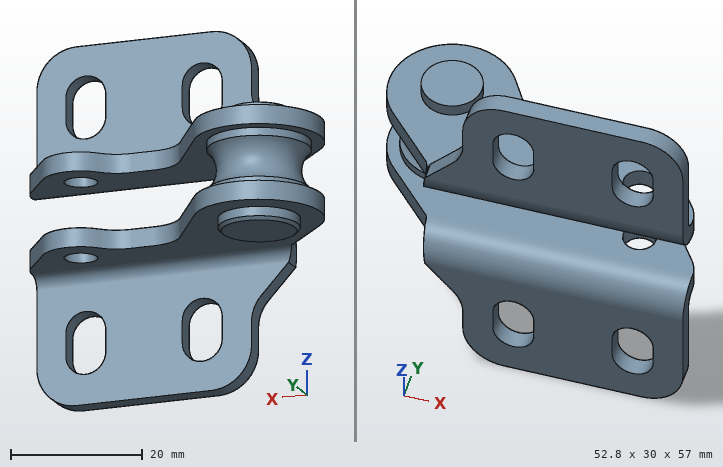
import cadquery as cq
import math

SHEET = 3.0
BEND_INNER = 2.0
BEND_OUTER = BEND_INNER + SHEET
WEB_INNER_Z = 4.5
FLANGE_TOP_Z = 28.5
FLANGE_FRONT_Y = -20.0
RIGHT_X = 42.8

WEB_OUTER_Z = WEB_INNER_Z + SHEET
BEND_END_Z = WEB_INNER_Z + BEND_OUTER
BEND_END_Y = FLANGE_FRONT_Y + BEND_OUTER

LUG_R = 10.0
VALLEY_R = 6.0
VALLEY_Y = -7.65
VALLEY_LEFT_X = 19.85
EAR_X = 32.8
EAR_Y = -9.7
EAR_R = 6.0
EAR_HOLE_D = 5.15
WEB_CORNER_R = 5.0
TOUCHING = 5.7e-07

BEND_LEFT_WEB_X = 0.5
BEND_LEFT_FLANGE_X = 1.75

FLANGE_LEFT_X = 7.8
FLANGE_CORNER_R = 6.5
SHOULDER_Z = 16.0
SHOULDER_R = 6.0
SLOT_WIDTH = 6.5
SLOT_LENGTH = 10.0
SLOT_Z = 18.7
SLOT_XS = (15.85, 34.8)

ROLLER_R = 8.0
GROOVE_R = 6.5
GROOVE_HALF_WIDTH = 3.25
ROLLER_HALF_WIDTH = WEB_INNER_Z

PIN_R = 4.75
PIN_HEAD_R = 6.25
PIN_END_Z = BEND_END_Z
PIN_HEAD_CHAMFER = 0.5


def tangent_angle(start, end):
    """Angle of the left-hand normal of the line that joins two circles tangentially.

    Each circle is (x, y, radius): positive radius when the outline runs clockwise
    round it, negative when counter-clockwise, zero for a plain corner.
    """
    x1, y1, r1 = start
    x2, y2, r2 = end
    distance = math.hypot(x2 - x1, y2 - y1)
    cosine = max(-1, (r1 - r2) / distance)
    return math.atan2(y2 - y1, x2 - x1) + math.acos(cosine)


def point_on(circle, angle):
    x, y, r = circle
    return (x + r * math.cos(angle), y + r * math.sin(angle))


def make_web():
    valley_center_y = VALLEY_Y + VALLEY_R
    valley_to_ear = math.sqrt((VALLEY_R + EAR_R) ** 2 - (valley_center_y - EAR_Y) ** 2)
    path = [
        (BEND_LEFT_WEB_X, BEND_END_Y, 0),
        (0, 0, LUG_R),
        (VALLEY_LEFT_X, valley_center_y, -VALLEY_R),
        (EAR_X - valley_to_ear, valley_center_y, -VALLEY_R),
        (EAR_X, EAR_Y, EAR_R),
        (RIGHT_X - WEB_CORNER_R, BEND_END_Y, WEB_CORNER_R),
    ]
    angles = [tangent_angle(a, b) for a, b in zip(path, path[1:])]
    angles.append(0)
    position = (BEND_LEFT_WEB_X, BEND_END_Y)
    outline = cq.Workplane("XY", origin=(0, 0, WEB_INNER_Z)).moveTo(*position)
    for circle, angle_in, angle_out in zip(path[1:], angles, angles[1:]):
        arc_start = point_on(circle, angle_in)
        if math.dist(position, arc_start) > TOUCHING:
            outline = outline.lineTo(*arc_start)
        position = point_on(circle, angle_out)
        outline = outline.threePointArc(point_on(circle, (angle_in + angle_out) / 2), position)
    web = outline.close().extrude(SHEET)
    for x, y, radius in ((0, 0, PIN_R), (EAR_X, EAR_Y, EAR_HOLE_D / 2)):
        hole = cq.Workplane("XY", origin=(x, y, WEB_INNER_Z)).circle(radius).extrude(SHEET)
        web = web.cut(hole)
    return web


def bend_section(start_x):
    """Quarter ring across the bend, centred on the bend axis; local axes are Y and Z."""
    half = math.sqrt(0.5)
    return (
        cq.Workplane("YZ", origin=(start_x, BEND_END_Y, BEND_END_Z))
        .moveTo(0, -BEND_INNER)
        .lineTo(0, -BEND_OUTER)
        .threePointArc((-BEND_OUTER * half, -BEND_OUTER * half), (-BEND_OUTER, 0))
        .lineTo(-BEND_INNER, 0)
        .threePointArc((-BEND_INNER * half, -BEND_INNER * half), (0, -BEND_INNER))
        .close()
    )


def make_bend():
    lead = BEND_LEFT_FLANGE_X - BEND_LEFT_WEB_X
    straight = bend_section(BEND_LEFT_FLANGE_X).extrude(RIGHT_X - BEND_LEFT_FLANGE_X)
    side = 2 * BEND_OUTER
    twisted_square = (
        cq.Workplane("YZ", origin=(BEND_LEFT_WEB_X, BEND_END_Y, BEND_END_Z))
        .rect(side, -side, centered=False)
        .twistExtrude(lead, -90)
    )
    slanted = bend_section(BEND_LEFT_WEB_X).extrude(lead).intersect(twisted_square)
    return straight.union(slanted)


def make_flange():
    flange = (
        cq.Workplane("XZ", origin=(0, FLANGE_FRONT_Y + SHEET, 0))
        .moveTo(BEND_LEFT_FLANGE_X, BEND_END_Z)
        .lineTo(FLANGE_LEFT_X, SHOULDER_Z)
        .lineTo(FLANGE_LEFT_X, FLANGE_TOP_Z)
        .lineTo(RIGHT_X, FLANGE_TOP_Z)
        .lineTo(RIGHT_X, BEND_END_Z)
        .close()
        .extrude(SHEET)
    )
    middle_y = FLANGE_FRONT_Y + SHEET / 2
    shoulder = cq.selectors.NearestToPointSelector((FLANGE_LEFT_X, middle_y, SHOULDER_Z))
    flange = flange.edges("|Y").edges(">Z").fillet(FLANGE_CORNER_R)
    flange = flange.edges("|Y").edges(shoulder).fillet(SHOULDER_R)
    slots = (
        cq.Workplane("XZ", origin=(0, FLANGE_FRONT_Y + SHEET, 0))
        .pushPoints([(x, SLOT_Z) for x in SLOT_XS])
        .slot2D(SLOT_LENGTH, SLOT_WIDTH, 90)
        .extrude(SHEET)
    )
    return flange.cut(slots)


def make_bracket():
    return make_web().union(make_bend()).union(make_flange())


def make_roller():
    return (
        cq.Workplane("XZ")
        .moveTo(PIN_R, -ROLLER_HALF_WIDTH)
        .lineTo(ROLLER_R, -ROLLER_HALF_WIDTH)
        .lineTo(ROLLER_R, -GROOVE_HALF_WIDTH)
        .threePointArc((GROOVE_R, 0), (ROLLER_R, GROOVE_HALF_WIDTH))
        .lineTo(ROLLER_R, ROLLER_HALF_WIDTH)
        .lineTo(PIN_R, ROLLER_HALF_WIDTH)
        .close()
        .revolve(360, (0, 0, 0), (0, 1, 0))
    )


def make_pin():
    shank = cq.Workplane("XY", origin=(0, 0, -PIN_END_Z)).circle(PIN_R).extrude(2 * PIN_END_Z)
    head = (
        cq.Workplane("XY", origin=(0, 0, -PIN_END_Z))
        .circle(PIN_HEAD_R)
        .extrude(PIN_END_Z - WEB_OUTER_Z)
        .faces("<Z")
        .chamfer(PIN_HEAD_CHAMFER)
    )
    return shank.union(head)


upper_bracket = make_bracket()
brackets = [upper_bracket, upper_bracket.mirror("XY")]
roller = make_roller()
pin = make_pin()

result = cq.Compound.makeCompound(
    [*(bracket.val() for bracket in brackets), roller.val(), pin.val()]
)